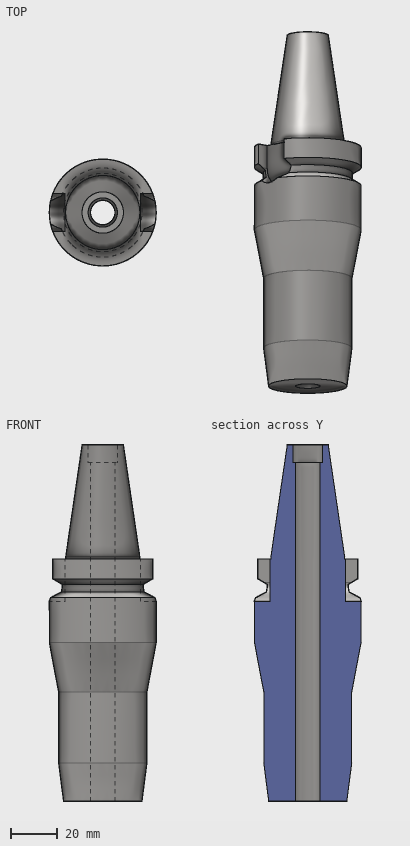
import cadquery as cq

total_height = 153.4
body_radius = 23.0

nose_tip_radius = 16.9
nose_radius = 19.0
nose_taper_height = 16.5
nose_top = 47.1
body_bottom = 68.3

body_top = 87.6
groove_bottom = 90.0
groove_top = 93.3
flange_bottom = 95.7
flange_top = 104.3
groove_radius = 19.2

taper_bottom = 105.2
taper_large_radius = 16.0
taper_small_radius = 8.9

bore_radius = 5.2
counterbore_radius = 6.3
counterbore_depth = 7.7

slot_width = 16.3
slot_floor_x = 16.3
slot_bottom = 86.0


def make_body():
    """Revolve the half outline, given as (radius, height) points."""
    outline = [
        (0, 0),
        (nose_tip_radius, 0),
        (nose_radius, nose_taper_height),
        (nose_radius, nose_top),
        (body_radius, body_bottom),
        (body_radius, body_top),
        (groove_radius, groove_bottom),
        (groove_radius, groove_top),
        (body_radius, flange_bottom),
        (body_radius, flange_top),
        (taper_large_radius, flange_top),
        (taper_large_radius, taper_bottom),
        (taper_small_radius, total_height),
        (0, total_height),
    ]
    return cq.Workplane("XZ").polyline(outline).close().revolve(360, (0, 0, 0), (0, 1, 0))


def make_bore():
    """Through bore with a wider counterbore at the small end of the taper."""
    bore = cq.Workplane("XY").circle(bore_radius).extrude(total_height)
    counterbore = (
        cq.Workplane("XY", origin=(0, 0, total_height - counterbore_depth))
        .circle(counterbore_radius)
        .extrude(counterbore_depth)
    )
    return bore.union(counterbore)


def make_drive_slot(side):
    """Round-bottomed slot, open at the flange top; side is -1 or +1 along X."""
    half_width = slot_width / 2
    arc_center_z = slot_bottom + half_width
    return (
        cq.Workplane("YZ", origin=(side * slot_floor_x, 0, 0))
        .moveTo(-half_width, flange_top)
        .lineTo(-half_width, arc_center_z)
        .threePointArc((0, slot_bottom), (half_width, arc_center_z))
        .lineTo(half_width, flange_top)
        .close()
        .extrude(side * body_radius)
    )


result = make_body().cut(make_bore())
for side in (-1, 1):
    result = result.cut(make_drive_slot(side))